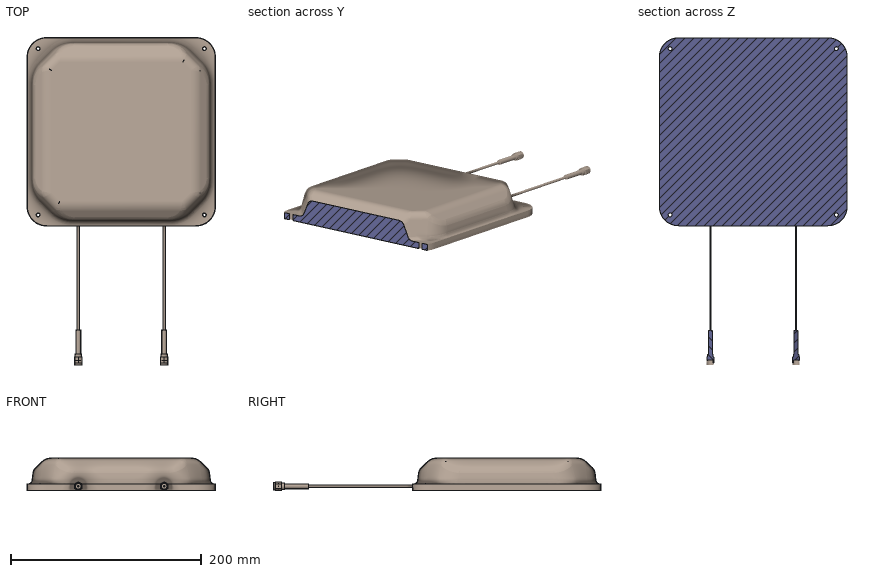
import cadquery as cq
import math

PLATE_SIZE = 197.51
PLATE_THICKNESS = 7.1
PLATE_CORNER_RADIUS = 20.5
TOTAL_HEIGHT = 34.32
HALF_PLATE = PLATE_SIZE / 2

HOLE_DIAMETER = 3.6
HOLE_INSET = 11.6

SIDE_INSET = 4.8
SIDE_DRAFT = 7.0
CORNER_INSET = 27.1
CORNER_DRAFT = 16.0
WALL_BLEND_RADIUS = 30.0
SHOULDER_ANGLE = 44.0
SHOULDER_TOP_INSET = 19.7
SHOULDER_RADIUS = 10.0
TOP_RADIUS = 14.8
CORNER_TOP_RADIUS = 10.0
MITRE_RADIUS = 10.0
BASE_FILLET_RADIUS = 4.2
SHOULDER_BORDER_CLEARANCE = 5.0
SELECTION_MARGIN = 0.01
ROUNDER_OVERRUN = 6.0

CABLE_SPACING = 90.0
CABLE_HEIGHT = 4.65
CABLE_DIAMETER = 2.8
CABLE_LENGTH = 109.1
SLEEVE_DIAMETER = 5.2
SLEEVE_END = 134.3
COLLAR_DIAMETER = 7.0
COLLAR_END = 137.2
NUT_ACROSS_FLATS = 8.0
NUT_END = 143.6
CONNECTOR_END = 145.83
BORE_DIAMETER = 6.0
BORE_DEPTH = 5.0
PIN_DIAMETER = 1.3


def octagon_points(side_inset, corner_inset):
    """Octagon whose walls lie the given distances inside the plate's edges and sharp corners."""
    half = HALF_PLATE - side_inset
    short = 2 * HALF_PLATE - math.sqrt(2) * corner_inset - half
    return [
        (half, -short), (half, short), (short, half), (-short, half),
        (-half, short), (-half, -short), (-short, -half), (short, -half),
    ]


def make_shoulder_cutter():
    """Wedge that cuts the sloped shoulder along the +X side."""
    drop = SHOULDER_TOP_INSET * math.tan(math.radians(SHOULDER_ANGLE))
    return (
        cq.Workplane("XZ")
        .moveTo(HALF_PLATE - SHOULDER_TOP_INSET, TOTAL_HEIGHT)
        .lineTo(HALF_PLATE, TOTAL_HEIGHT - drop)
        .lineTo(HALF_PLATE, TOTAL_HEIGHT)
        .close()
        .extrude(HALF_PLATE, both=True)
    )


def make_edge_rounder(edge_x, slope, radius):
    """Bar that rounds the straight top edge at edge_x, where a face falls away at the given slope."""
    angle = math.radians(slope)
    center_x = edge_x - radius * math.tan(angle / 2)
    center_z = TOTAL_HEIGHT - radius

    def arc_point(turn):
        return (center_x + radius * math.sin(turn), center_z + radius * math.cos(turn))

    end_x, end_z = arc_point(angle)
    outer_x = end_x + ROUNDER_OVERRUN * math.cos(angle)
    outer_z = end_z - ROUNDER_OVERRUN * math.sin(angle)
    bar_top = TOTAL_HEIGHT + ROUNDER_OVERRUN
    return (
        cq.Workplane("XZ")
        .moveTo(center_x, TOTAL_HEIGHT)
        .threePointArc(arc_point(angle / 2), (end_x, end_z))
        .lineTo(outer_x, outer_z)
        .lineTo(outer_x, bar_top)
        .lineTo(center_x, bar_top)
        .close()
        .extrude(HALF_PLATE, both=True)
    )


def make_dome():
    height = TOTAL_HEIGHT - PLATE_THICKNESS
    side_lean = height * math.tan(math.radians(SIDE_DRAFT))
    corner_lean = height * math.tan(math.radians(CORNER_DRAFT))
    dome = (
        cq.Workplane("XY", origin=(0, 0, PLATE_THICKNESS))
        .polyline(octagon_points(SIDE_INSET, CORNER_INSET)).close()
        .workplane(offset=height)
        .polyline(octagon_points(SIDE_INSET + side_lean, CORNER_INSET + corner_lean)).close()
        .loft(ruled=True)
        .edges("not #Z").fillet(WALL_BLEND_RADIUS)
    )
    cutter = make_shoulder_cutter()
    for quarter in range(4):
        dome = dome.cut(cutter.rotate((0, 0, 0), (0, 0, 1), 90 * quarter))

    shoulder_border = cq.selectors.BoxSelector(
        (-HALF_PLATE, -HALF_PLATE, PLATE_THICKNESS + SHOULDER_BORDER_CLEARANCE),
        (HALF_PLATE, HALF_PLATE, TOTAL_HEIGHT - SELECTION_MARGIN),
        boundingbox=True,
    )
    dome = dome.edges(shoulder_border).fillet(SHOULDER_RADIUS)

    side_rounder = make_edge_rounder(HALF_PLATE - SHOULDER_TOP_INSET, SHOULDER_ANGLE, TOP_RADIUS)
    corner_top = math.sqrt(2) * HALF_PLATE - CORNER_INSET - corner_lean
    corner_rounder = make_edge_rounder(corner_top, 90 - CORNER_DRAFT, CORNER_TOP_RADIUS)
    for quarter in range(4):
        dome = dome.cut(side_rounder.rotate((0, 0, 0), (0, 0, 1), 90 * quarter))
        dome = dome.cut(corner_rounder.rotate((0, 0, 0), (0, 0, 1), 90 * quarter + 45))

    mitres = [
        edge for edge in dome.edges().vals()
        if edge.BoundingBox().zmin < TOTAL_HEIGHT - SELECTION_MARGIN < edge.BoundingBox().zmax
    ]
    return dome.newObject(mitres).fillet(MITRE_RADIUS)


def make_housing():
    """Flanged plate with the dome on top and a concave fillet where they meet."""
    plate = (
        cq.Workplane("XY")
        .rect(PLATE_SIZE, PLATE_SIZE)
        .extrude(PLATE_THICKNESS)
        .edges("|Z").fillet(PLATE_CORNER_RADIUS)
    )
    housing = plate.union(make_dome())
    foot_reach = HALF_PLATE - SIDE_INSET / 2
    foot = cq.selectors.BoxSelector(
        (-foot_reach, -foot_reach, PLATE_THICKNESS - SELECTION_MARGIN),
        (foot_reach, foot_reach, PLATE_THICKNESS + SELECTION_MARGIN),
        boundingbox=True,
    )
    housing = housing.edges(foot).fillet(BASE_FILLET_RADIUS)
    hole_pitch = PLATE_SIZE - 2 * HOLE_INSET
    return (
        housing.faces("<Z").workplane(origin=(0, 0, 0))
        .rect(hole_pitch, hole_pitch, forConstruction=True)
        .vertices()
        .hole(HOLE_DIAMETER)
    )


def front_plane(x, distance):
    """Plane facing -Y on a cable's axis, a given distance out from the plate's front edge."""
    return cq.Workplane("XZ", origin=(x, -HALF_PLATE - distance, CABLE_HEIGHT))


def make_cable(x):
    return front_plane(x, 0).circle(CABLE_DIAMETER / 2).extrude(CABLE_LENGTH)


def make_connector(x):
    """Sleeve, collar, hexagonal nut and round tip, with a centre pin inside the tip's bore."""
    sleeve = front_plane(x, CABLE_LENGTH).circle(SLEEVE_DIAMETER / 2).extrude(SLEEVE_END - CABLE_LENGTH)
    collar = front_plane(x, SLEEVE_END).circle(COLLAR_DIAMETER / 2).extrude(COLLAR_END - SLEEVE_END)
    corner_radius = NUT_ACROSS_FLATS / math.sqrt(3)
    corners = [
        (corner_radius * math.sin(turn * math.pi / 3), corner_radius * math.cos(turn * math.pi / 3))
        for turn in range(6)
    ]
    nut = front_plane(x, COLLAR_END).polyline(corners).close().extrude(NUT_END - COLLAR_END)
    tip = front_plane(x, NUT_END).circle(NUT_ACROSS_FLATS / 2).extrude(CONNECTOR_END - NUT_END)
    bore = front_plane(x, CONNECTOR_END).circle(BORE_DIAMETER / 2).extrude(-BORE_DEPTH)
    pin = front_plane(x, CONNECTOR_END - BORE_DEPTH).circle(PIN_DIAMETER / 2).extrude(BORE_DEPTH)
    return sleeve.union(collar).union(nut).union(tip).cut(bore).union(pin)


housing = make_housing()
cable_positions = [-CABLE_SPACING / 2, CABLE_SPACING / 2]
cables = [make_cable(x).val() for x in cable_positions]
connectors = [make_connector(x).val() for x in cable_positions]

result = cq.Compound.makeCompound([housing.val(), *cables, *connectors])